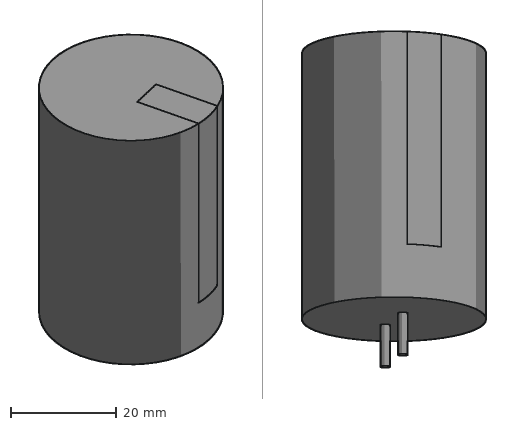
import cadquery as cq

overall_height = 60.1
can_diameter = 35.0
can_height = 52.0
marker_inner_x = 3.5
marker_width = 6.8
marker_height = 41.6
pin_diameter = 1.85
pin_spacing = 10.0

can_radius = can_diameter / 2
pin_length = overall_height - can_height
marker_bottom_z = can_height - marker_height


def make_cylinder():
    """Full outer cylinder shared by the can and its inlaid marker."""
    return cq.Workplane("XY").circle(can_radius).extrude(can_height)


def make_marker():
    """Polarity marker, flush with the top and the +X side of the can."""
    block = (
        cq.Workplane("XY", origin=(marker_inner_x, 0, marker_bottom_z))
        .box(can_radius, marker_width, marker_height, centered=(False, True, False))
    )
    return make_cylinder().intersect(block)


def make_can(marker):
    """Capacitor can with a recess that the marker fills."""
    return make_cylinder().cut(marker)


def make_pin(x):
    """Round lead hanging from the underside of the can."""
    return cq.Workplane("XY", origin=(x, 0, 0)).circle(pin_diameter / 2).extrude(-pin_length)


marker = make_marker()
can = make_can(marker)
pins = [make_pin(side * pin_spacing / 2) for side in (-1, 1)]

result = cq.Compound.makeCompound([can.val(), marker.val(), *[pin.val() for pin in pins]])